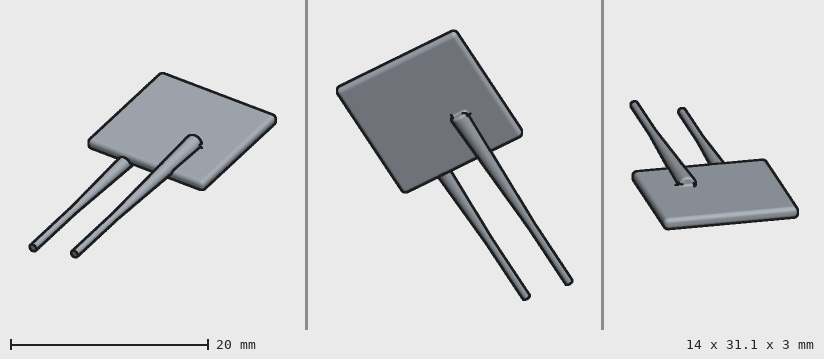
import cadquery as cq

plate_side = 14.0
plate_thickness = 1.2
plate_edge_radius = 0.5
total_length = 31.1
lead_spacing = 4.98
wire_radius = 0.4
sleeve_radius = 0.9
sleeve_overlap = 5.6
sleeve_reach = 9.5
sleeve_end_radius = 0.28
sleeve_collar = 0.28
foot_size = 0.25
foot_root = 0.15

plate_front = -plate_side / 2
wire_tip = plate_side / 2 - total_length
sleeve_back = plate_front + sleeve_overlap
rounding_front = sleeve_back - sleeve_end_radius
collar_front = rounding_front - sleeve_collar
sleeve_front = plate_front - sleeve_reach
end_face_radius = sleeve_radius - sleeve_end_radius


def make_plate():
    """Square plate with all its edges rounded."""
    plate = cq.Workplane("XY").box(plate_side, plate_side, plate_thickness)
    return plate.edges().fillet(plate_edge_radius)


def make_lead():
    """Wire along Y with a tapered sleeve, revolved about its own axis."""
    profile = (
        cq.Workplane("XY")
        .moveTo(0, wire_tip)
        .lineTo(wire_radius, wire_tip)
        .lineTo(wire_radius, sleeve_front)
        .lineTo(sleeve_radius, collar_front)
        .lineTo(sleeve_radius, rounding_front)
        .radiusArc((end_face_radius, sleeve_back), -sleeve_end_radius)
        .lineTo(0, sleeve_back)
        .close()
    )
    return profile.revolve(360, (0, 0, 0), (0, 1, 0))


def foot_profile(plane, wall):
    """Concave bead section against a wall at the given local distance."""
    return (
        cq.Workplane(plane)
        .moveTo(wall - foot_root, -foot_root)
        .lineTo(wall + foot_size, -foot_root)
        .lineTo(wall + foot_size, 0)
        .radiusArc((wall, foot_size), foot_size)
        .lineTo(wall - foot_root, foot_size)
        .close()
    )


def make_foot():
    """Bead across the end face, round one corner and along the collar."""
    back = foot_profile("YZ", sleeve_back).extrude(2 * end_face_radius)
    back = back.translate((-end_face_radius, 0, 0))
    flank = foot_profile("XZ", sleeve_radius).extrude(sleeve_collar)
    flank = flank.translate((0, rounding_front, 0))
    corner = foot_profile("XZ", sleeve_end_radius).revolve(90, (0, 0, 0), (0, 1, 0))
    corner = corner.translate((end_face_radius, rounding_front, 0))
    return back.union(corner).union(flank)


lead = make_lead().union(make_foot())
upper_lead = lead.translate((lead_spacing / 2, 0, plate_thickness / 2))

lower_lead = upper_lead.rotate((0, 0, 0), (0, 1, 0), 180)

result = make_plate().union(upper_lead).union(lower_lead)